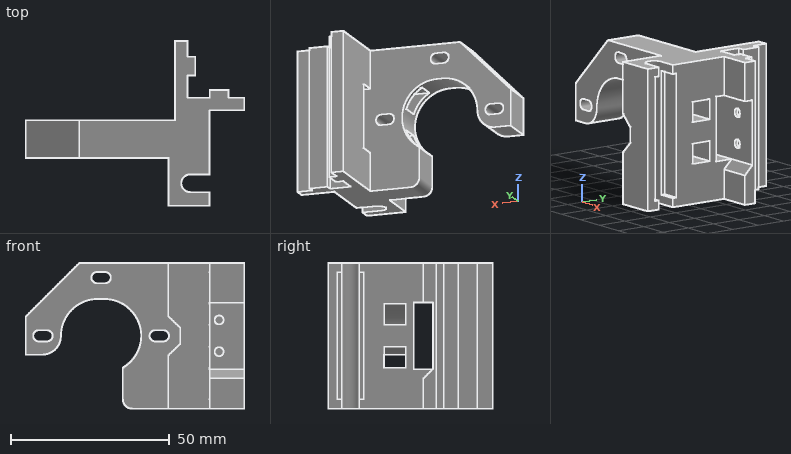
import cadquery as cq
import math

length = 69.0
depth = 52.0
height = 46.0
axis_z = height / 2

column_left = 45.0
column_right = 58.0

plate_front = 15.05
plate_back = 27.05
arm_bevel = 17.0
arm_corner_radius = 6.0
arm_bottom = axis_z - arm_corner_radius
foot_left = 30.65
foot_corner_radius = 3.0

bore_center_x = 23.8
bore_radius = 11.6
bore_travel = 2.1
screw_spacing = 18.35
screw_slot_length = 6.1
screw_slot_width = 3.45

flange_thickness = 4.0
side_flange_left = 47.05
side_flange_right = side_flange_left + flange_thickness
end_flange_back = 34.1
end_flange_front = end_flange_back - flange_thickness
rib_width = 6.0
rib_height = 2.5
rib_tip_margin = 5.0

column_slot_y = 7.1
column_slot_width = 5.5
column_slot_end = 49.1
lip_thickness = 3.0
lip_overhang = 1.45

groove_depth = 3.7
groove_mouth = 12.35
groove_floor = 5.2

channel_front = 17.7
channel_width = 6.75
channel_bar = 7.0

window_height = 21.0
window_back = 33.05

flange_hole_diameter = 2.8
flange_hole_spacing = 10.0


def box(x_min, x_max, y_min, y_max, z_min, z_max):
    """Axis-aligned block between two corners."""
    size = (x_max - x_min, y_max - y_min, z_max - z_min)
    return cq.Workplane("XY").box(*size, centered=False).translate((x_min, y_min, z_min))


def full_height_block(x_min, x_max, y_min, y_max):
    return box(x_min, x_max, y_min, y_max, 0, height)


def plate_slot(center_x, center_z, slot_length, slot_width):
    """Round-ended cutter along X, passing through the motor plate in Y."""
    return (
        cq.Workplane("XZ", origin=(center_x, plate_back, center_z))
        .slot2D(slot_length, slot_width)
        .extrude(plate_back - plate_front)
    )


def make_motor_plate():
    """Hooked arm with the bore opening downwards between arm and foot."""
    bore_left = bore_center_x - bore_travel / 2 - bore_radius
    plate = (
        cq.Workplane("XZ", origin=(0, plate_back, 0))
        .moveTo(0, arm_bottom)
        .lineTo(0, height - arm_bevel)
        .lineTo(arm_bevel, height)
        .lineTo(column_right, height)
        .lineTo(column_right, 0)
        .lineTo(foot_left + foot_corner_radius, 0)
        .radiusArc((foot_left, foot_corner_radius), foot_corner_radius)
        .lineTo(foot_left, axis_z)
        .lineTo(bore_left, axis_z)
        .radiusArc((bore_left - arm_corner_radius, arm_bottom), arm_corner_radius)
        .close()
        .extrude(plate_back - plate_front)
    )
    bore_width = 2 * bore_radius
    plate = plate.cut(plate_slot(bore_center_x, axis_z, bore_width + bore_travel, bore_width))
    for offset_x, offset_z in ((-screw_spacing, 0), (0, screw_spacing), (screw_spacing, 0)):
        screw_slot = plate_slot(
            bore_center_x + offset_x, axis_z + offset_z, screw_slot_length, screw_slot_width
        )
        plate = plate.cut(screw_slot)
    return plate


def make_column_blocks():
    """Front block, with a core that joins the motor plate to the flanges."""
    front = full_height_block(column_left, column_right, 0, plate_front)
    core = full_height_block(side_flange_left, column_right, plate_back, end_flange_back)
    return front, core


def make_flanges():
    side_rib_back = depth - rib_tip_margin
    end_rib_right = length - rib_tip_margin
    return (
        full_height_block(side_flange_left, side_flange_right, end_flange_back, depth),
        full_height_block(
            side_flange_right, side_flange_right + rib_height,
            side_rib_back - rib_width, side_rib_back,
        ),
        full_height_block(column_right, length, end_flange_front, end_flange_back),
        full_height_block(
            end_rib_right - rib_width, end_rib_right,
            end_flange_back, end_flange_back + rib_height,
        ),
    )


def make_column_slot():
    """Round-ended slot over the full height plus the wider cavity between the lips."""
    half_width = column_slot_width / 2
    y_min = column_slot_y - half_width
    y_max = column_slot_y + half_width
    round_center_x = column_slot_end + half_width
    slot = full_height_block(round_center_x, column_right, y_min, y_max)
    round_end = (
        cq.Workplane("XY")
        .center(round_center_x, column_slot_y)
        .circle(half_width)
        .extrude(height)
    )
    cavity = box(
        round_center_x, column_right,
        y_min - lip_overhang, y_max + lip_overhang,
        lip_thickness, height - lip_thickness,
    )
    return slot.union(round_end).union(cavity)


def make_groove():
    return (
        cq.Workplane("XZ", origin=(0, plate_front, 0))
        .moveTo(column_left, axis_z - groove_mouth / 2)
        .lineTo(column_left + groove_depth, axis_z - groove_floor / 2)
        .lineTo(column_left + groove_depth, axis_z + groove_floor / 2)
        .lineTo(column_left, axis_z + groove_mouth / 2)
        .close()
        .extrude(plate_front)
    )


def make_channels():
    """Channels below and above a central bar; the lower floor meets the bore's edge on the foot."""
    round_center_x = bore_center_x + bore_travel / 2
    half_height = math.sqrt(bore_radius**2 - (foot_left - round_center_x) ** 2)
    channel_back = channel_front + channel_width
    lower = box(
        foot_left, column_right, channel_front, channel_back,
        axis_z - half_height, axis_z - channel_bar / 2,
    )
    upper = box(
        foot_left, column_right, channel_front, channel_back,
        axis_z + channel_bar / 2, axis_z + half_height,
    )
    return lower.union(upper)


def make_window():
    """Rectangular window along X with a 45 degree ramp below it in the end flange."""
    bottom = axis_z - window_height / 2
    window = box(
        side_flange_left, length, plate_back, window_back, bottom, bottom + window_height
    )
    ramp_size = window_back - end_flange_front
    ramp = (
        cq.Workplane("YZ", origin=(column_right, 0, 0))
        .moveTo(end_flange_front, bottom - ramp_size)
        .lineTo(window_back, bottom)
        .lineTo(end_flange_front, bottom)
        .close()
        .extrude(length - column_right)
    )
    return window.union(ramp)


def make_flange_holes():
    """Two blind holes behind the window, closed at the back by the rib."""
    hole_x = length - rib_tip_margin - rib_width / 2
    return (
        cq.Workplane("XZ", origin=(hole_x, end_flange_back, axis_z))
        .pushPoints([(0, -flange_hole_spacing / 2), (0, flange_hole_spacing / 2)])
        .circle(flange_hole_diameter / 2)
        .extrude(end_flange_back - window_back)
    )


result = make_motor_plate()
for block in (*make_column_blocks(), *make_flanges()):
    result = result.union(block)
for cutter in (
    make_column_slot(),
    make_groove(),
    make_channels(),
    make_window(),
    make_flange_holes(),
):
    result = result.cut(cutter)